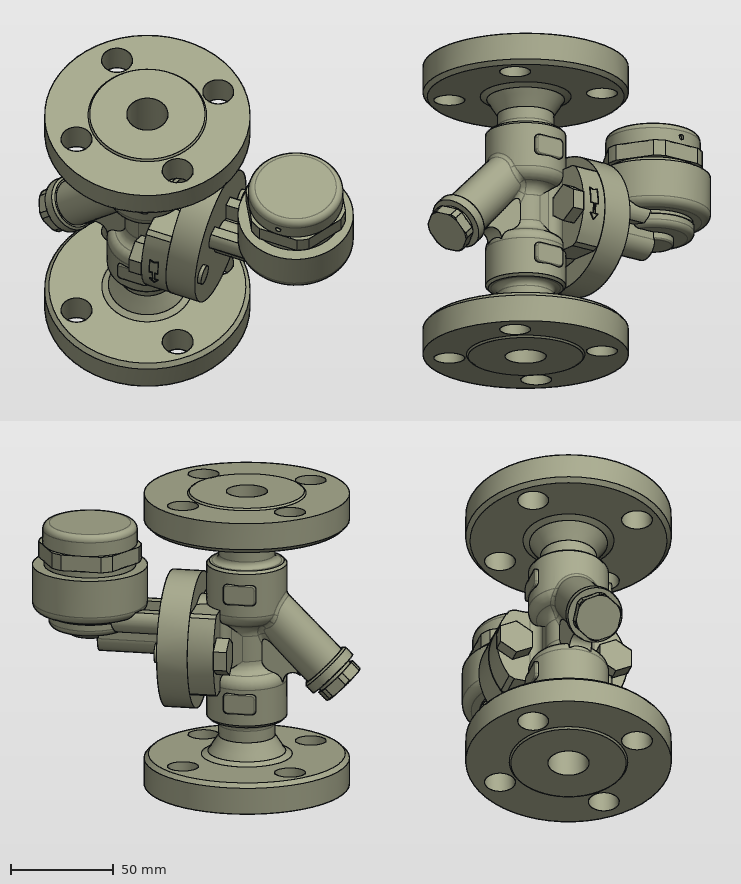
import cadquery as cq
import math

HEIGHT = 150.0

HALF_HEX_ANGLE = 30

FLANGE_D = 100.0
FLANGE_THICKNESS = 15.3
FLANGE_CHAMFER = 2.1
FACE_D = 56.0
FACE_BASE_D = 57.6
FACE_HEIGHT = 1.0
BOLT_HOLE_D = 15.0
BOLT_CIRCLE_D = 75.0
BOLT_COUNT = 4
FIRST_BOLT_ANGLE = 45
BORE_D = 20.0
BORE_DEPTH = 32.3

NECK_D = 27.5
HUB_D = 38.0
HUB_ROOT_D = 44.2
HUB_ROOT_HEIGHT = 1.6
HUB_LENGTH = 9.7
BODY_D = 39.0
BODY_TOP_Z = 39.9
BODY_CHAMFER = 1.3
NECK_FILLET = 3.2
CORE_D = 23.0
SHOULDER_ROUND = 6.5
SHOULDER_DROP = 12.1
SHOULDER_OFFSET = 18.5

PAD_LENGTH = 16.1
PAD_HEIGHT = 10.3
PAD_Y = 19.7
PAD_Z = 27.8
PAD_CORNER = 2.3
PAD_EDGE = 0.6

BRANCH_Z = 27.1
BRANCH_D = 23.0
BRANCH_FILLET = 3.2
COLLAR_D = 27.0
COLLAR_START = 54.3
COLLAR_END = 60.2
COLLAR_CHAMFER = 1.1
CAP_START = 62.2
CAP_END = 67.8
CAP_D = 23.1
CAP_FLATS = 21.3
CAP_CHAMFER = 0.5
CAP_STEM_D = 20.0
WEB_ROUND = 4.8
WEB_X = -23.7
WEB_Z = -19.5
WEB_TIP_WIDTH = 8
WEB_ROOT_WIDTH = 17.8

SIDE_Z = -2.0
SIDE_D = 67.0
BODY_SIDE_D = 66.5
SIDE_HUB_START_D = 42.1
SIDE_HUB_END_D = 45.2
SIDE_START = 10.2
SIDE_JOINT = 23.1
SIDE_END = 38.3
SIDE_FLATS = 41.3
SIDE_FLAT_CHAMFER = 1.6
SIDE_FLARE = 4.8
SCREW_Y = 25.4
SCREW_D = 9.5
SCREW_FLATS = 16.1
SCREW_HEAD = 6.5
SCREW_END = 40.2

ARROW_X = 16.6
ARROW_WIDTH = 4.5
ARROW_STEM = 1.1
ARROW_NOTCH = 0.8
ARROW_TOP_Z = 6.1
ARROW_TAIL_Z = -1.8
ARROW_HEAD_Z = -7.0
ARROW_TIP_Z = -10.0
ARROW_RELIEF = 0.5

ARM_WIDTH = 29.9
ARM_HEIGHT = 10.3
ARM_BOTTOM_Z = 3.4
ARM_GAP = 14.5
ARM_CROWN = 2.5
LOWER_ARM_D = 16.3
LOWER_ARM_END = 72.5

HEAD_X = 77.7
HEAD_D = 56.0
HEAD_TOP_Z = 33.1
HEAD_BOTTOM_Z = 10.2
HEAD_ROUND = 4.4
HEAD_NECK_D = 44.7
STEP_D = 40.0
STEP_NECK_D = 39.0
STEP_TOP_Z = 8.2
STEP_BOTTOM_Z = 2.0
STEP_ROUND = 3.2
SPIGOT_D = 20.0
SPIGOT_BOTTOM_Z = -1.8
SPIGOT_ROUND = 0.8
NUT_BOTTOM_Z = 36.3
NUT_TOP_Z = 44.2
NUT_FLATS = 46.0
NUT_D = 50
HEAD_CAP_TOP_Z = 54.4
HEAD_CAP_D = 46.0
HEAD_CAP_ROUND = 3.2
VENT_D = 2.6
VENT_Z = 48.0
VENT_DEPTH = 1.6


def rod(x, y, z, diameter, length):
    """Cylinder along +X starting at the given point."""
    plane = cq.Plane(origin=(x, y, z), xDir=(0, 1, 0), normal=(1, 0, 0))
    return cq.Workplane(plane).circle(diameter / 2).extrude(length)


def disc(x, z_bottom, z_top, diameter):
    """Upright cylinder between two heights."""
    return cq.Workplane("XY", origin=(x, 0, z_bottom)).circle(diameter / 2).extrude(z_top - z_bottom)


def hexagon(plane, flats, length, turn=0):
    """Hexagonal prism; with no turn its corners lie on the local X axis."""
    corners = flats / math.cos(math.radians(HALF_HEX_ANGLE))
    plane = plane.rotated((0, 0, turn))
    return cq.Workplane(plane).polygon(6, corners).extrude(length)


def valve_end(round_z):
    """Upper half of the turned body: flange, neck, chamber and its shoulder down to the core."""
    face_z = HEIGHT / 2
    rim_z = face_z - FACE_HEIGHT
    back_z = rim_z - FLANGE_THICKNESS
    hub_z = back_z - HUB_ROOT_HEIGHT
    neck_r = NECK_D / 2
    body_r = BODY_D / 2
    core_r = CORE_D / 2
    ball_r = body_r - SHOULDER_ROUND
    core_z = round_z - SHOULDER_DROP
    offset = ball_r - core_r
    fillet = (offset**2 + SHOULDER_DROP**2 - SHOULDER_ROUND**2) / (2 * (SHOULDER_ROUND + offset))
    fillet_r = core_r + fillet
    lean = math.atan2(SHOULDER_DROP, fillet_r - ball_r)

    def on_shoulder(angle):
        return (ball_r + SHOULDER_ROUND * math.cos(angle), round_z - SHOULDER_ROUND * math.sin(angle))

    def on_fillet(angle):
        return (fillet_r - fillet * math.cos(angle), core_z + fillet * math.sin(angle))

    bend = NECK_FILLET * (1 - math.sqrt(0.5))
    profile = (
        cq.Workplane("XZ")
        .lineTo(0, face_z)
        .lineTo(FACE_D / 2, face_z)
        .lineTo(FACE_BASE_D / 2, rim_z)
        .lineTo(FLANGE_D / 2, rim_z)
        .lineTo(FLANGE_D / 2, back_z + FLANGE_CHAMFER)
        .lineTo(FLANGE_D / 2 - FLANGE_CHAMFER, back_z)
        .lineTo(HUB_ROOT_D / 2, back_z)
        .lineTo(HUB_D / 2, hub_z)
        .lineTo(neck_r, back_z - HUB_LENGTH)
        .lineTo(neck_r, BODY_TOP_Z + NECK_FILLET)
        .threePointArc((neck_r + bend, BODY_TOP_Z + bend), (neck_r + NECK_FILLET, BODY_TOP_Z))
        .lineTo(body_r - BODY_CHAMFER, BODY_TOP_Z)
        .lineTo(body_r, BODY_TOP_Z - BODY_CHAMFER)
        .lineTo(body_r, round_z)
        .threePointArc(on_shoulder(lean / 2), on_shoulder(lean))
        .threePointArc(on_fillet(lean / 2), on_fillet(0))
        .lineTo(core_r, 0)
        .close()
    )
    end = profile.revolve(360, (0, 0), (0, 1))
    holes = (
        cq.Workplane("XY", origin=(0, 0, back_z))
        .polarArray(BOLT_CIRCLE_D / 2, FIRST_BOLT_ANGLE, 360, BOLT_COUNT)
        .circle(BOLT_HOLE_D / 2)
        .extrude(FLANGE_THICKNESS)
    )
    return end.cut(holes)


def bore():
    """Blind flow bore from the upper flange face."""
    return disc(0, HEIGHT / 2 - BORE_DEPTH, HEIGHT / 2, BORE_D)


def pad(z):
    """Plate through the body whose two ends show as rounded pads."""
    return (
        cq.Workplane("XY", origin=(0, 0, z))
        .box(PAD_LENGTH, 2 * PAD_Y, PAD_HEIGHT)
        .edges("|Y")
        .fillet(PAD_CORNER)
        .faces("<Y or >Y")
        .edges()
        .fillet(PAD_EDGE)
    )


def branch_plane(distance):
    """Plane across the branch axis, facing outward, at a distance from the flow axis."""
    slope = math.sqrt(0.5)
    origin = (-distance * slope, 0, BRANCH_Z - distance * slope)
    return cq.Plane(origin=origin, xDir=(0, 1, 0), normal=(-1, 0, -1))


def branch_rod(start, end, diameter):
    """Cylinder on the branch axis."""
    return cq.Workplane(branch_plane(start)).circle(diameter / 2).extrude(end - start)


def branch_web():
    """Web in the crook below the branch, ending in a round hollow and widening toward the core."""
    crook = math.sqrt(0.5) * WEB_ROUND
    hollow_x = WEB_X + WEB_ROUND * math.sin(math.pi / 8)
    hollow_z = WEB_Z + WEB_ROUND * math.cos(math.pi / 8)
    tip_x = WEB_X - crook
    tip = WEB_TIP_WIDTH / 2
    root = WEB_ROOT_WIDTH / 2
    side_outline = (
        cq.Workplane("XZ")
        .moveTo(tip_x, WEB_Z + crook)
        .threePointArc((hollow_x, hollow_z), (WEB_X + WEB_ROUND, WEB_Z))
        .lineTo(0, WEB_Z)
        .lineTo(0, BRANCH_Z)
        .close()
        .extrude(root, both=True)
    )
    wedge = (
        cq.Workplane("XY")
        .polyline([(tip_x, -tip), (0, -root), (0, root), (tip_x, tip)])
        .close()
        .extrude(HEIGHT / 2, both=True)
    )
    return side_outline.intersect(wedge)


def strainer_cap():
    """Collar and hexagon plug at the end of the strainer branch."""
    collar = branch_rod(COLLAR_START, COLLAR_END, COLLAR_D).faces(">Z").edges().chamfer(COLLAR_CHAMFER)
    stem = branch_rod(COLLAR_END, CAP_START, CAP_STEM_D)
    length = CAP_END - CAP_START
    turned = branch_rod(CAP_START, CAP_END, CAP_D).faces("<Z").edges().chamfer(CAP_CHAMFER)
    head = hexagon(branch_plane(CAP_START), CAP_FLATS, length, HALF_HEX_ANGLE).intersect(turned)
    return collar.union(stem).union(head)


def side_flanges():
    """Body flange with two flats and a tapered hub, and the round flange of the trap against it."""
    thickness = SIDE_JOINT - SIDE_START
    body_side = rod(SIDE_START, 0, SIDE_Z, BODY_SIDE_D, thickness)
    flats = cq.Workplane("XY", origin=(SIDE_START, 0, SIDE_Z)).box(
        thickness, BODY_SIDE_D, SIDE_FLATS, centered=(False, True, True)
    )
    body_side = body_side.intersect(flats).edges("|X").chamfer(SIDE_FLAT_CHAMFER)
    hub = (
        cq.Workplane(cq.Plane(origin=(SIDE_START, 0, SIDE_Z), xDir=(0, 1, 0), normal=(1, 0, 0)))
        .circle(SIDE_HUB_START_D / 2)
        .workplane(offset=thickness)
        .circle(SIDE_HUB_END_D / 2)
        .loft()
    )
    return body_side.union(hub).union(rod(SIDE_JOINT, 0, SIDE_Z, SIDE_D, SIDE_END - SIDE_JOINT))


def flow_arrow():
    """Raised arrow on the front edge of the body flange, pointing down."""
    half = ARROW_WIDTH / 2
    stem = ARROW_STEM / 2
    return (
        cq.Workplane("XZ", origin=(ARROW_X, 0, 0))
        .moveTo(0, ARROW_TOP_Z - ARROW_NOTCH)
        .lineTo(half, ARROW_TOP_Z)
        .lineTo(half, ARROW_TAIL_Z)
        .lineTo(stem, ARROW_TAIL_Z)
        .lineTo(stem, ARROW_HEAD_Z)
        .lineTo(half, ARROW_HEAD_Z)
        .lineTo(0, ARROW_TIP_Z)
        .lineTo(-half, ARROW_HEAD_Z)
        .lineTo(-stem, ARROW_HEAD_Z)
        .lineTo(-stem, ARROW_TAIL_Z)
        .lineTo(-half, ARROW_TAIL_Z)
        .lineTo(-half, ARROW_TOP_Z)
        .close()
        .extrude(BODY_SIDE_D / 2 + ARROW_RELIEF)
        .intersect(rod(SIDE_START, 0, SIDE_Z, BODY_SIDE_D + 2 * ARROW_RELIEF, SIDE_JOINT - SIDE_START))
    )


def side_neck():
    """Web from the core to the body flange, flaring out where it meets the flange."""
    core_r = CORE_D / 2
    start = SIDE_START - SIDE_FLARE
    bend = SIDE_FLARE * math.sqrt(0.5)
    mid_x = start + bend
    mid_y = core_r + SIDE_FLARE - bend
    wide = core_r + SIDE_FLARE
    return (
        cq.Workplane("XY", origin=(0, 0, SIDE_Z))
        .moveTo(0, -core_r)
        .lineTo(start, -core_r)
        .threePointArc((mid_x, -mid_y), (SIDE_START, -wide))
        .lineTo(SIDE_START, wide)
        .threePointArc((mid_x, mid_y), (start, core_r))
        .lineTo(0, core_r)
        .close()
        .extrude(SIDE_FLATS / 2 - SIDE_FLAT_CHAMFER, both=True)
    )


def screw(y):
    """Hexagon screw through both side flanges."""
    start = SIDE_START - SCREW_HEAD
    plane = cq.Plane(origin=(start, y, SIDE_Z), xDir=(0, 1, 0), normal=(1, 0, 0))
    head = hexagon(plane, SCREW_FLATS, SCREW_HEAD, HALF_HEX_ANGLE)
    return head.union(rod(start, y, SIDE_Z, SCREW_D, SCREW_END - start))


def arms():
    """Two upper arms with bulging outer sides, above one arm with a round underside."""
    half = ARM_WIDTH / 2
    edge = half - ARM_CROWN
    arm_z = ARM_BOTTOM_Z + ARM_HEIGHT / 2
    top_z = ARM_BOTTOM_Z + ARM_HEIGHT
    upper = (
        cq.Workplane("YZ", origin=(SIDE_END, 0, 0))
        .moveTo(ARM_GAP / 2, ARM_BOTTOM_Z)
        .lineTo(edge, ARM_BOTTOM_Z)
        .threePointArc((half, arm_z), (edge, top_z))
        .lineTo(ARM_GAP / 2, top_z)
        .close()
        .extrude(HEAD_X - SIDE_END)
    )
    length = LOWER_ARM_END - SIDE_END
    lower = rod(SIDE_END, 0, SIDE_Z, LOWER_ARM_D, length)
    block = cq.Workplane("XY", origin=(SIDE_END, 0, SIDE_Z)).box(
        length, LOWER_ARM_D, ARM_BOTTOM_Z - SIDE_Z, centered=(False, True, False)
    )
    return lower.union(block).union(upper).union(upper.mirror("XZ"))


def trap_head():
    """Upright head: stepped underside, housing, hexagon nut and rounded cap with a small vent."""
    housing = disc(HEAD_X, HEAD_BOTTOM_Z, HEAD_TOP_Z, HEAD_D).faces("<Z").edges().fillet(HEAD_ROUND)
    step = disc(HEAD_X, STEP_BOTTOM_Z, STEP_TOP_Z, STEP_D).faces("<Z").edges().fillet(STEP_ROUND)
    step_neck = disc(HEAD_X, STEP_TOP_Z, HEAD_BOTTOM_Z, STEP_NECK_D)
    spigot = disc(HEAD_X, SPIGOT_BOTTOM_Z, STEP_BOTTOM_Z, SPIGOT_D)
    spigot = spigot.faces("<Z").edges().fillet(SPIGOT_ROUND)
    neck = disc(HEAD_X, HEAD_TOP_Z, NUT_BOTTOM_Z, HEAD_NECK_D)
    plane = cq.Plane(origin=(HEAD_X, 0, NUT_BOTTOM_Z))
    nut = hexagon(plane, NUT_FLATS, NUT_TOP_Z - NUT_BOTTOM_Z)
    nut = nut.intersect(disc(HEAD_X, NUT_BOTTOM_Z, NUT_TOP_Z, NUT_D))
    cap = disc(HEAD_X, NUT_TOP_Z, HEAD_CAP_TOP_Z, HEAD_CAP_D).faces(">Z").edges().fillet(HEAD_CAP_ROUND)
    vent = (
        cq.Workplane("XZ", origin=(HEAD_X, -HEAD_CAP_D / 2, VENT_Z))
        .circle(VENT_D / 2)
        .extrude(-VENT_DEPTH)
    )
    head = housing.union(step_neck).union(step).union(spigot).union(neck).union(nut).union(cap)
    return head.cut(vent)


def body():
    """Both ends of the body and the strainer branch, with the branch blended into the body."""
    upper_end = valve_end(SHOULDER_OFFSET + SIDE_Z)
    lower_end = valve_end(SHOULDER_OFFSET - SIDE_Z).mirror("XY")
    joined = upper_end.union(lower_end).union(branch_rod(0, COLLAR_START, BRANCH_D))
    seam = joined.edges("%BSPLINE")
    return seam.fillet(BRANCH_FILLET).union(branch_web()).union(strainer_cap())


result = body()
for side in (1, -1):
    result = result.union(pad(side * PAD_Z))
    result = result.union(screw(side * SCREW_Y))
result = result.union(side_neck()).union(side_flanges()).union(flow_arrow())
result = result.union(arms()).union(trap_head())
result = result.cut(bore()).cut(bore().mirror("XY"))